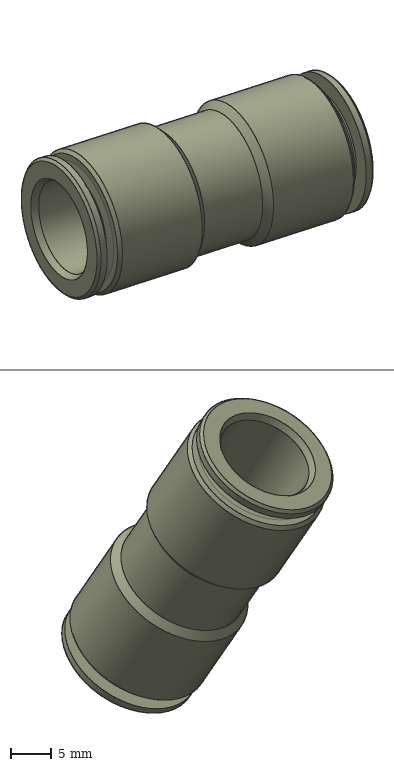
import cadquery as cq

length = 40.8
half_length = length / 2

flange_radius = 9.22
flange_thickness = 1.25
flange_chamfer = 0.35
neck_radius = 6.77
neck_root_flare = 0.12
neck_root_length = 0.2

body_radius = 9.5
waist_radius = 8.53
body_start = 2.9
body_chamfer = 0.45
end_cone_radius = 8.15
end_cone_height = 0.2
shoulder_start = 15.15
shoulder_end = shoulder_start + body_radius - waist_radius

mouth_radius = 6.6
socket_radius = 6.1
bore_radius = 5.45
mouth_depth = 0.85
socket_depth = 16.3
taper_length = 0.35
taper_end = socket_depth + taper_length


def end_profile():
    """Radius and distance from the end face, from the mouth out to the waist."""
    return [
        (bore_radius, taper_end),
        (socket_radius, socket_depth),
        (socket_radius, mouth_depth),
        (mouth_radius, 0),
        (flange_radius - flange_chamfer, 0),
        (flange_radius, flange_chamfer),
        (flange_radius, flange_thickness),
        (neck_radius + neck_root_flare, flange_thickness),
        (neck_radius, flange_thickness + neck_root_length),
        (neck_radius, body_start - end_cone_height),
        (end_cone_radius, body_start),
        (body_radius - body_chamfer, body_start),
        (body_radius, body_start + body_chamfer),
        (body_radius, shoulder_start),
        (waist_radius, shoulder_end),
    ]


near_end = [(radius, distance - half_length) for radius, distance in end_profile()]
far_end = [(radius, -y) for radius, y in reversed(near_end)]

result = (
    cq.Workplane("XY")
    .polyline(near_end + far_end)
    .close()
    .revolve(360, (0, 0, 0), (0, 1, 0))
)